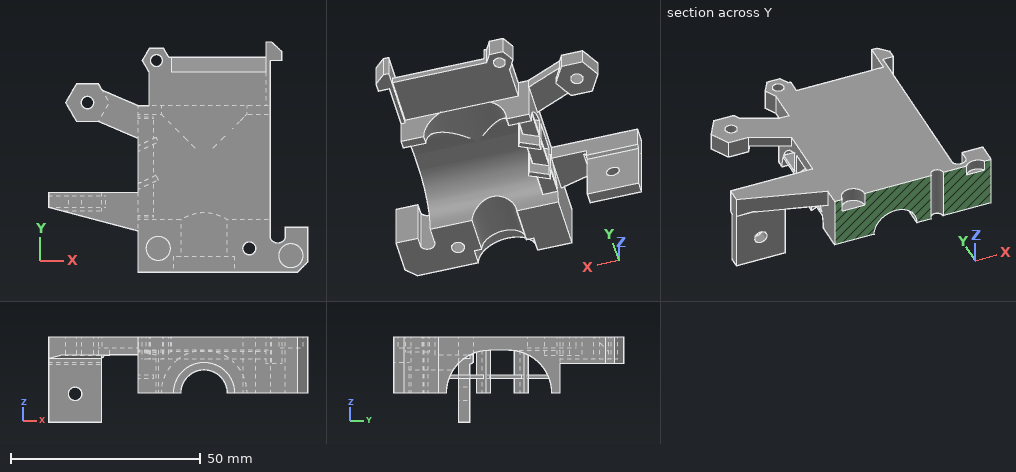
import cadquery as cq
import math

BLOCK_WIDTH = 35.0
BLOCK_LENGTH = 44.0
TOP = 14.85

ARCH_HEIGHT = 11.3
ARCH_FRONT = 14.0
ARCH_BACK = 41.7

BORE_X = BLOCK_WIDTH / 2
BORE_RADIUS = 6.1
SEAT_RADIUS = 8.1
SEAT_DEPTH = 4.1

SCREW_HOLE_X = 29.45
SCREW_Y = 6.3
SCREW_HOLE_DIAMETER = 3.35
POCKET_X = 5.4
POCKET_DIAMETER = 6.4
POCKET_DEPTH = 4.0

RIB_STARTS = [31.85, 21.85]
RIB_THICKNESS = 1.4
RIB_END_X = 5.4
RIB_ANGLE = 25
SHELF_FRONT = 12.8
SHELF_BACK = 42.7
SHELF_WIDTH = 4.1
SHELF_BOTTOM = 3.85
SHELF_THICKNESS = 0.95

DECK_LEFT = 8.0
DECK_DEPTH = 5.9
DECK_FLAT_END = 52.9
DECK_BACK = 56.8
DECK_SLOPE_DROP = 3.9
MOUNT_LEFT = 2.95
MOUNT_RIGHT = 8.9
SMALL_HEX_CENTER = (4.9, 55.9)
SMALL_HEX_FLATS = 6.5
SMALL_HEX_HOLE = 3.1

CLIP_THICKNESS = 1.15
CLIP_DEPTH = 7.1
CLIP_FRONT = 41.8
CLIP_LEFT = BLOCK_WIDTH - CLIP_THICKNESS
HOOK_FRONT = 55.9
HOOK_SIDE_END = 58.3
HOOK_BACK = 60.8
HOOK_TIP_RIGHT = 35.35
HOOK_RIGHT = 38.0

ARM_END = (-14.6, 45.95)
ARM_ANGLE = -23.2
ARM_LENGTH = 24
ARM_WIDTH = 8.0
ARM_DEPTH = 3.0
BIG_HEX_CENTER = (-13.3, 44.8)
BIG_HEX_FLATS = 10.0
BIG_HEX_DEPTH = 4.9
BIG_HEX_HOLE = 3.2

TAPER_TIP_X = -23.55
TAPER_BACK = 21.1
TAPER_TIP_FRONT = 17.1
TAPER_ROOT_FRONT = 10.9
TAPER_DEPTH = 4.8
TAB_WIDTH = 14.05
TAB_THICKNESS = 3.0
TAB_DROP = 22.6
TAB_HOLE_DROP = 15.1
TAB_HOLE_DIAMETER = 3.5
GUSSET_SIZE = 0.95
REAR_GUSSET_DROP = 7.3
REAR_GUSSET_EDGE_DROP = 6.8

OVERALL_WIDTH = 68.5
LUG_RIGHT = OVERALL_WIDTH + TAPER_TIP_X
LUG_BACK = 11.9
LUG_CHAMFER = 2.75
NOTCH_RIGHT = 38.9
NOTCH_RADIUS = 2.1
NOTCH_Y = 9.85
LUG_POCKET_CENTER = (40.4, 4.4)
LUG_POCKET_DEPTH = 3.0


def box(x_range, y_range, z_range):
    """Axis-aligned box between pairs of limits."""
    size = [end - start for start, end in (x_range, y_range, z_range)]
    corner = (x_range[0], y_range[0], z_range[0])
    return cq.Workplane("XY").box(*size, centered=False).translate(corner)


def hanging(depth):
    """XY workplane whose outlines extrude up by depth to reach the top face."""
    return cq.Workplane("XY").workplane(offset=TOP - depth)


def hole_down(center, diameter, depth):
    """Vertical cylinder of the given depth below the top face."""
    return hanging(depth).center(*center).circle(diameter / 2).extrude(depth)


def hexagon(center, flats, depth):
    """Hexagonal boss with corners pointing along X."""
    corners = flats / math.cos(math.pi / 6)
    return hanging(depth).center(*center).polygon(6, corners).extrude(depth)


def side_profile(points, x_start, x_end):
    """Closed YZ outline extruded from x_start to x_end."""
    plane = cq.Workplane("YZ").workplane(offset=x_start)
    return plane.polyline(points).close().extrude(x_end - x_start)


def bore(radius, y_start, y_end):
    """Cylinder along Y whose axis lies in the bottom face of the block."""
    plane = cq.Workplane("XZ", origin=(BORE_X, y_start, 0))
    return plane.circle(radius).extrude(y_start - y_end)


def make_block():
    block = box((0, BLOCK_WIDTH), (0, BLOCK_LENGTH), (0, TOP))
    corner = ARCH_HEIGHT * math.sqrt(0.5)
    front_center = ARCH_FRONT + ARCH_HEIGHT
    back_center = ARCH_BACK - ARCH_HEIGHT
    arch = (
        cq.Workplane("YZ")
        .moveTo(ARCH_FRONT, 0)
        .threePointArc((front_center - corner, corner), (front_center, ARCH_HEIGHT))
        .lineTo(back_center, ARCH_HEIGHT)
        .threePointArc((back_center + corner, corner), (ARCH_BACK, 0))
        .close()
        .extrude(BLOCK_WIDTH)
    )
    block = block.cut(arch)
    block = block.cut(bore(BORE_RADIUS, 0, ARCH_BACK))
    block = block.cut(bore(SEAT_RADIUS, 0, SEAT_DEPTH))
    block = block.cut(bore(ARCH_HEIGHT, (ARCH_FRONT + ARCH_BACK) / 2, BLOCK_LENGTH))
    block = block.cut(hole_down((SCREW_HOLE_X, SCREW_Y), SCREW_HOLE_DIAMETER, TOP))
    return block.cut(hole_down((POCKET_X, SCREW_Y), POCKET_DIAMETER, POCKET_DEPTH))


def make_ribs_and_shelf():
    shelf_top = SHELF_BOTTOM + SHELF_THICKNESS
    ribs = box((0, SHELF_WIDTH), (SHELF_FRONT, SHELF_BACK), (SHELF_BOTTOM, shelf_top))
    length = RIB_END_X / math.cos(math.radians(RIB_ANGLE))
    overrun = RIB_THICKNESS
    trim = box((0, BLOCK_WIDTH), (0, BLOCK_LENGTH), (0, TOP))
    for start in RIB_STARTS:
        rib = box((-overrun, length), (0, RIB_THICKNESS), (0, TOP))
        rib = rib.rotate((0, 0, 0), (0, 0, 1), RIB_ANGLE).translate((0, start, 0))
        ribs = ribs.union(rib.intersect(trim))
    return ribs


def make_rear_deck():
    bottom = TOP - DECK_DEPTH
    profile = [
        (BLOCK_LENGTH, bottom),
        (BLOCK_LENGTH, TOP),
        (DECK_FLAT_END, TOP),
        (DECK_BACK, TOP - DECK_SLOPE_DROP),
        (DECK_BACK, bottom),
    ]
    deck = side_profile(profile, DECK_LEFT, BLOCK_WIDTH)
    mount = box((MOUNT_LEFT, MOUNT_RIGHT), (BLOCK_LENGTH, DECK_BACK), (bottom, TOP))
    boss = hexagon(SMALL_HEX_CENTER, SMALL_HEX_FLATS, DECK_DEPTH)
    hole = hole_down(SMALL_HEX_CENTER, SMALL_HEX_HOLE, DECK_DEPTH)
    return deck.union(mount).union(boss).cut(hole)


def make_clip():
    strip = box((CLIP_LEFT, BLOCK_WIDTH), (CLIP_FRONT, HOOK_BACK), (TOP - CLIP_DEPTH, TOP))
    outline = [
        (CLIP_LEFT, HOOK_FRONT),
        (HOOK_RIGHT, HOOK_FRONT),
        (HOOK_RIGHT, HOOK_SIDE_END),
        (HOOK_TIP_RIGHT, HOOK_BACK),
        (CLIP_LEFT, HOOK_BACK),
    ]
    hook = hanging(CLIP_DEPTH).polyline(outline).close().extrude(CLIP_DEPTH)
    return strip.union(hook)


def make_slanted_arm():
    half = ARM_WIDTH / 2
    bar = box((0, ARM_LENGTH), (-half, half), (TOP - ARM_DEPTH, TOP))
    bar = bar.rotate((0, 0, 0), (0, 0, 1), ARM_ANGLE).translate((*ARM_END, 0))
    boss = hexagon(BIG_HEX_CENTER, BIG_HEX_FLATS, BIG_HEX_DEPTH)
    hole = hole_down(BIG_HEX_CENTER, BIG_HEX_HOLE, BIG_HEX_DEPTH)
    return bar.union(boss).cut(hole)


def make_tapered_arm():
    outline = [
        (TAPER_TIP_X, TAPER_BACK),
        (TAPER_TIP_X, TAPER_TIP_FRONT),
        (0, TAPER_ROOT_FRONT),
        (0, TAPER_BACK),
    ]
    arm = hanging(TAPER_DEPTH).polyline(outline).close().extrude(TAPER_DEPTH)
    tab_right = TAPER_TIP_X + TAB_WIDTH
    tab_back = TAPER_TIP_FRONT + TAB_THICKNESS
    tab_range = (TAPER_TIP_FRONT, tab_back)
    tab = box((TAPER_TIP_X, tab_right), tab_range, (TOP - TAB_DROP, TOP))

    arm_bottom = TOP - TAPER_DEPTH
    wedges = [
        (TAPER_TIP_FRONT - GUSSET_SIZE, arm_bottom),
        (TAPER_TIP_FRONT, arm_bottom - GUSSET_SIZE),
        (tab_back, TOP - REAR_GUSSET_DROP),
        (TAPER_BACK, TOP - REAR_GUSSET_EDGE_DROP),
        (TAPER_BACK, arm_bottom),
    ]
    footprint = hanging(TAB_DROP).polyline(outline).close().extrude(TAB_DROP)
    gussets = side_profile(wedges, TAPER_TIP_X, tab_right).intersect(footprint)
    side_wedge = (
        cq.Workplane("XZ", origin=(tab_right, TAPER_TIP_FRONT, arm_bottom))
        .polyline([(0, 0), (GUSSET_SIZE, 0), (0, -GUSSET_SIZE)])
        .close()
        .extrude(-TAB_THICKNESS)
    )
    hole = (
        cq.Workplane("XZ", origin=(TAPER_TIP_X + TAB_WIDTH / 2, 0, TOP - TAB_HOLE_DROP))
        .circle(TAB_HOLE_DIAMETER / 2)
        .extrude(-tab_back)
    )
    return arm.union(tab).union(gussets).union(side_wedge).cut(hole)


def make_lug():
    lug = (
        cq.Workplane("XY")
        .moveTo(BLOCK_WIDTH, 0)
        .lineTo(LUG_RIGHT - LUG_CHAMFER, 0)
        .lineTo(LUG_RIGHT, LUG_CHAMFER)
        .lineTo(LUG_RIGHT, LUG_BACK)
        .lineTo(BLOCK_WIDTH, LUG_BACK)
        .close()
        .extrude(TOP)
    )
    notch_x = (BLOCK_WIDTH + NOTCH_RIGHT) / 2
    notch = cq.Workplane("XY").center(notch_x, NOTCH_Y).circle(NOTCH_RADIUS).extrude(TOP)
    slot_range = (BLOCK_WIDTH, NOTCH_RIGHT)
    notch = notch.intersect(box(slot_range, (0, LUG_BACK), (0, TOP)))
    slot = box(slot_range, (NOTCH_Y, LUG_BACK), (0, TOP))
    pocket = hole_down(LUG_POCKET_CENTER, POCKET_DIAMETER, LUG_POCKET_DEPTH)
    return lug.cut(slot).cut(notch).cut(pocket)


result = (
    make_block()
    .union(make_ribs_and_shelf())
    .union(make_rear_deck())
    .union(make_clip())
    .union(make_slanted_arm())
    .union(make_tapered_arm())
    .union(make_lug())
)